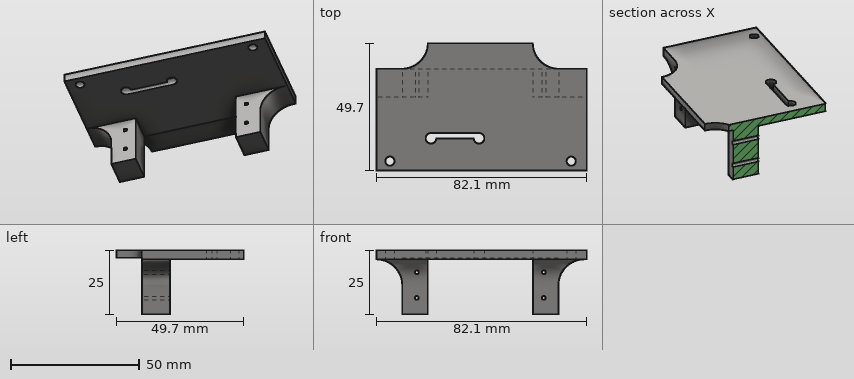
import cadquery as cq
import math

length = 82.1
total_depth = 49.72
total_height = 25.0
plate_thickness = 3.6
curve_radius = 10.0

tab_thickness = 3.0
tab_depth = curve_radius
plate_depth = total_depth - tab_depth
plate_bottom = total_height - plate_thickness

leg_width = 10.0
leg_depth = 11.0
left_leg_outer = 10.05
right_leg_outer = 71.05
left_leg_inner = left_leg_outer + leg_width
right_leg_inner = right_leg_outer - leg_width

screw_diameter = 1.4
screw_inset = 4.25
screw_spacing = 10.0
lower_screw_height = 6.4
screw_heights = (lower_screw_height, lower_screw_height + screw_spacing)

mount_diameter = 3.5
mount_xs = (5.3, 76.0)
mount_y = 3.65

slot_end_diameter = 4.05
slot_left_x = 21.3
slot_right_x = 40.05
slot_y = 12.55


def block(x_min, x_max, y_min, y_max, z_min, z_max):
    size = (x_max - x_min, y_max - y_min, z_max - z_min)
    return cq.Workplane("XY").box(*size, centered=False).translate((x_min, y_min, z_min))


def vertical_holes(points, diameter):
    return cq.Workplane("XY").pushPoints(points).circle(diameter / 2).extrude(total_height)


def make_tab():
    """Back tab whose sides sweep out to the plate in concave quarter circles."""
    tab = block(
        left_leg_outer, right_leg_outer,
        plate_depth, total_depth,
        total_height - tab_thickness, total_height,
    )
    corners = [(left_leg_outer, total_depth), (right_leg_outer, total_depth)]
    return tab.cut(vertical_holes(corners, 2 * curve_radius))


def make_leg(outer_x, inner_x):
    """Leg with a concave quarter circle between its outer face and the plate."""
    outward = 1 if outer_x > inner_x else -1
    arc_bottom = plate_bottom - curve_radius
    flare_x = outer_x + outward * curve_radius
    diagonal = curve_radius / math.sqrt(2)
    arc_middle = (flare_x - outward * diagonal, arc_bottom + diagonal)
    leg = (
        cq.Workplane("XZ", origin=(0, plate_depth, 0))
        .moveTo(inner_x, 0)
        .lineTo(outer_x, 0)
        .lineTo(outer_x, arc_bottom)
        .threePointArc(arc_middle, (flare_x, plate_bottom))
        .lineTo(inner_x, plate_bottom)
        .close()
        .extrude(leg_depth)
    )
    screw_x = inner_x + outward * screw_inset
    screws = (
        cq.Workplane("XZ", origin=(0, plate_depth, 0))
        .pushPoints([(screw_x, height) for height in screw_heights])
        .circle(screw_diameter / 2)
        .extrude(leg_depth)
    )
    return leg.cut(screws)


def make_slot():
    """Cutter for the slot, right through the plate."""
    ends = vertical_holes([(slot_left_x, slot_y), (slot_right_x, slot_y)], slot_end_diameter)
    bridge = block(
        slot_left_x, slot_right_x,
        slot_y, slot_y + slot_end_diameter / 2,
        0, total_height,
    )
    return ends.union(bridge)


plate = block(0, length, 0, plate_depth, plate_bottom, total_height)
mount_holes = vertical_holes([(x, mount_y) for x in mount_xs], mount_diameter)
plate = plate.cut(mount_holes).cut(make_slot())

result = (
    plate
    .union(make_tab())
    .union(make_leg(left_leg_outer, left_leg_inner))
    .union(make_leg(right_leg_outer, right_leg_inner))
)